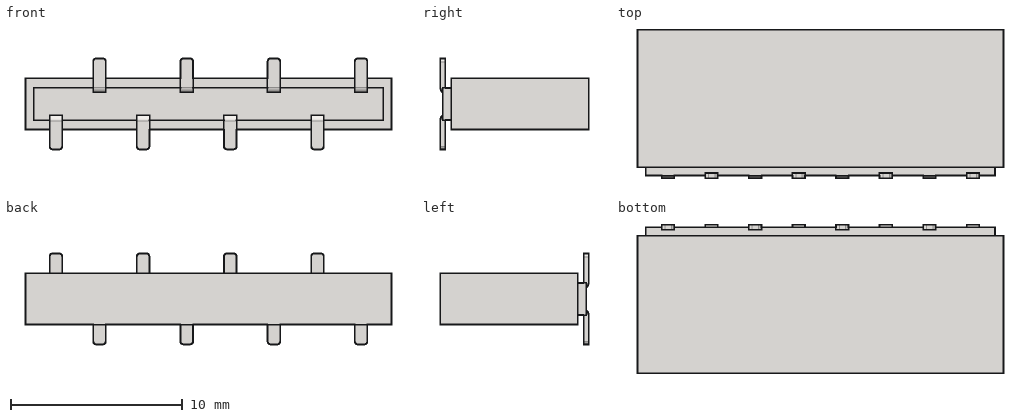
import cadquery as cq

total_depth = 8.65
total_height = 5.3

body_length = 21.32
body_depth = 8.02
body_height = 3.0

ledge_side_inset = 0.5
ledge_length = body_length - 2 * ledge_side_inset
ledge_height = 1.88
ledge_depth = 0.5

pins_per_row = 4
pin_pitch = 5.07
pin_stagger = pin_pitch / 2
pin_width = 0.75
pin_thickness = 0.3
pin_tip_radius = 0.2
pin_tip_height = total_height / 2
pin_front = body_depth - total_depth
pin_back = pin_front + pin_thickness

bend_inner_radius = 0.1
bend_outer_radius = bend_inner_radius + pin_thickness
bend_center_y = pin_front + bend_outer_radius
bend_center_z = 0.98
root_bottom = bend_center_z - bend_outer_radius
root_top = bend_center_z - bend_inner_radius


def make_body():
    return cq.Workplane("XY").box(
        body_length, body_depth, body_height, centered=(True, False, True)
    )


def make_ledge():
    return (
        cq.Workplane("XY")
        .box(ledge_length, ledge_depth, ledge_height, centered=(True, False, True))
        .translate((0, -ledge_depth, 0))
    )


def make_upper_pin():
    """Pin centred on X = 0, its bent root inside the ledge and its rounded tip pointing up."""
    strip = (
        cq.Workplane("YZ")
        .moveTo(pin_front, pin_tip_height)
        .lineTo(pin_front, bend_center_z)
        .radiusArc((bend_center_y, root_bottom), -bend_outer_radius)
        .lineTo(0, root_bottom)
        .lineTo(0, root_top)
        .lineTo(bend_center_y, root_top)
        .radiusArc((pin_back, bend_center_z), bend_inner_radius)
        .lineTo(pin_back, pin_tip_height)
        .close()
        .extrude(pin_width / 2, both=True)
    )
    return strip.faces(">Z").edges("|Y").fillet(pin_tip_radius)


upper_pin = make_upper_pin()
lower_pin = upper_pin.mirror("XY")

row_start = -pin_pitch * (pins_per_row - 1) / 2

result = make_body().union(make_ledge())
for index in range(pins_per_row):
    pin_x = row_start + index * pin_pitch
    result = result.union(upper_pin.translate((pin_x + pin_stagger / 2, 0, 0)))
    result = result.union(lower_pin.translate((pin_x - pin_stagger / 2, 0, 0)))